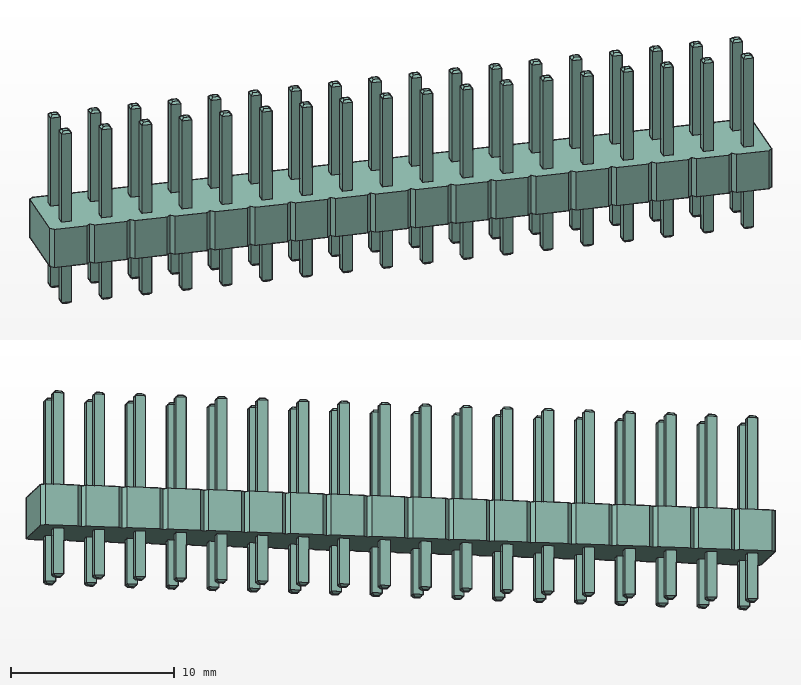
import cadquery as cq

rows = 2
pins_per_row = 18
strip_length = 45.7
pitch = strip_length / pins_per_row

strip_width = rows * pitch
strip_height = pitch
corner_chamfer = 0.25

pin_side = 0.65
pin_length = 11.5
pin_below_strip = 2.95
tip_chamfer = 0.145


def insulator_segment(y_center):
    """One block across both rows; its chamfered corners form the notches between blocks."""
    return (
        cq.Workplane("XY")
        .center(0, y_center)
        .rect(strip_width, pitch)
        .extrude(strip_height)
        .edges("|Z")
        .chamfer(corner_chamfer)
    )


def pin(x_center, y_center):
    """Square pin with all edges of both tips chamfered."""
    return (
        cq.Workplane("XY", origin=(x_center, y_center, -pin_below_strip))
        .rect(pin_side, pin_side)
        .extrude(pin_length)
        .faces("<Z or >Z")
        .edges()
        .chamfer(tip_chamfer)
    )


def centered_positions(count):
    """Positions one pitch apart, centred on zero."""
    return [(index - (count - 1) / 2) * pitch for index in range(count)]


segments = []
pins = []
for y in centered_positions(pins_per_row):
    segments.append(insulator_segment(y).val())
    for x in centered_positions(rows):
        pins.append(pin(x, y).val())

strip = segments[0].fuse(*segments[1:]).clean()
result = cq.Workplane(strip.fuse(*pins))